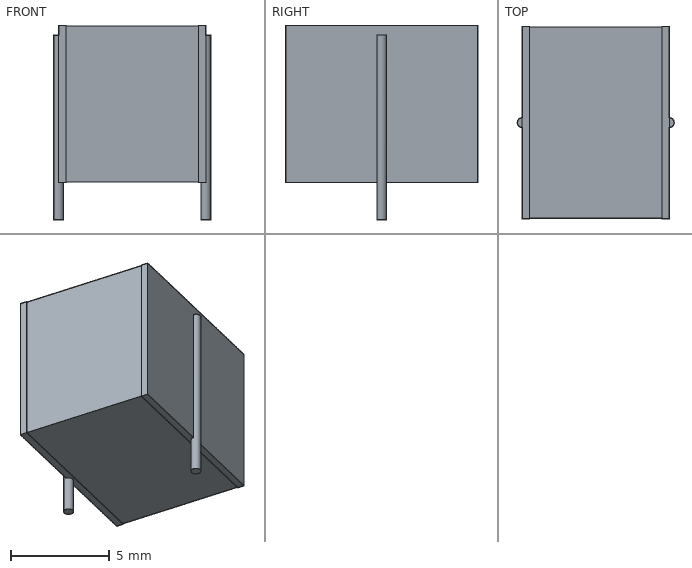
import cadquery as cq

total_height = 9.9
body_depth = 9.8
body_width = 7.49

plate_thickness = 0.38
plate_height = 8.0
core_setback = 0.02

pin_diameter = 0.5
pin_length = 9.405

plate_bottom = total_height - plate_height
plate_face_x = body_width / 2


def block(width, depth, height, center_x, bottom_z):
    """Box centred in Y, standing on bottom_z."""
    return (
        cq.Workplane("XY", origin=(center_x, 0, bottom_z))
        .box(width, depth, height, centered=(True, True, False))
    )


def pin(center_x):
    """Vertical pin standing on the lowest level of the part."""
    return cq.Workplane("XY").center(center_x, 0).circle(pin_diameter / 2).extrude(pin_length)


result = block(
    body_width - 2 * plate_thickness,
    body_depth - 2 * core_setback,
    plate_height - 2 * core_setback,
    0,
    plate_bottom + core_setback,
)

for side in (-1, 1):
    plate_center_x = side * (plate_face_x - plate_thickness / 2)
    plate = block(plate_thickness, body_depth, plate_height, plate_center_x, plate_bottom)
    result = result.union(plate).union(pin(side * plate_face_x))